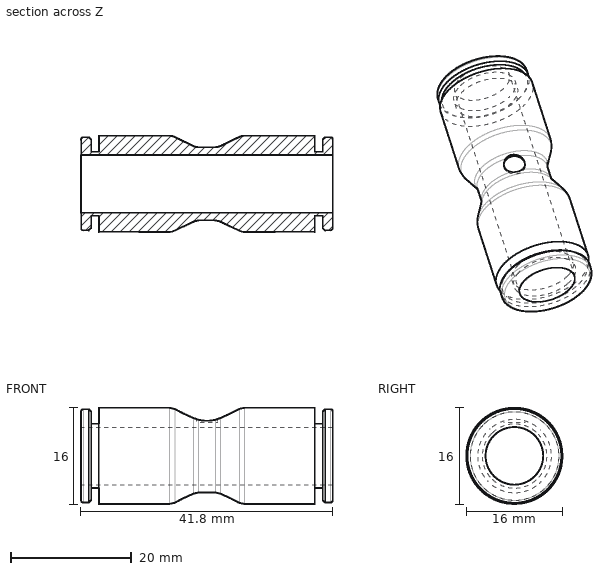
import cadquery as cq

half_length = 20.9
body_radius = 16.0 / 2
neck_radius = 6.1
collar_radius = 7.77
stem_radius = 5.35
bore_radius = 4.75

collar_width = 1.7
collar_outer_fillet = 0.4
collar_inner_chamfer = 0.4
collar_gap = 1.25

neck_half_width = 1.85
shoulder_offset = 5.75
waist_fillet = 1.92

recess_radius = 1.75
recess_depth = 0.5

collar_start = half_length - collar_width
body_end = collar_start - collar_gap


def revolve_about_x(outline):
    return outline.close().revolve(360, (0, 0, 0), (1, 0, 0))


def make_body():
    body = revolve_about_x(
        cq.Workplane("XY")
        .moveTo(-body_end, 0)
        .lineTo(-body_end, body_radius)
        .lineTo(-shoulder_offset, body_radius)
        .lineTo(-neck_half_width, neck_radius)
        .lineTo(neck_half_width, neck_radius)
        .lineTo(shoulder_offset, body_radius)
        .lineTo(body_end, body_radius)
        .lineTo(body_end, 0)
    )
    select_x = body_end - collar_gap
    waist = cq.selectors.BoxSelector(
        (-select_x, -body_radius, -body_radius),
        (select_x, body_radius, body_radius),
    )
    return body.edges("%CIRCLE").edges(waist).fillet(waist_fillet)


def make_collar():
    """Stem and release collar at the +X end."""
    stem = cq.Workplane("YZ", origin=(body_end, 0, 0)).circle(stem_radius).extrude(collar_gap)
    collar = (
        cq.Workplane("YZ", origin=(collar_start, 0, 0))
        .circle(collar_radius)
        .extrude(collar_width)
        .faces(">X")
        .edges()
        .fillet(collar_outer_fillet)
        .faces("<X")
        .edges()
        .chamfer(collar_inner_chamfer)
    )
    return stem.union(collar)


def make_recess():
    return (
        cq.Workplane("XY", origin=(0, 0, neck_radius - recess_depth))
        .circle(recess_radius)
        .extrude(body_radius)
    )


bore = cq.Workplane("YZ", origin=(-half_length, 0, 0)).circle(bore_radius).extrude(2 * half_length)
collar = make_collar()

result = make_body().union(collar).union(collar.mirror("YZ"))
result = result.cut(make_recess()).cut(bore)